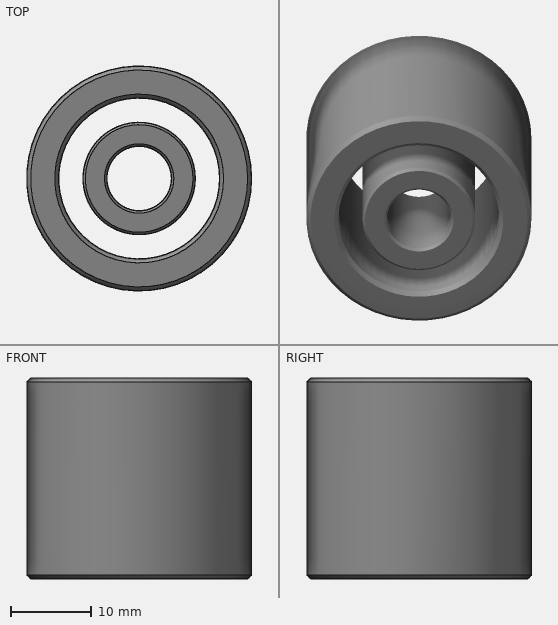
import cadquery as cq

OUTER_RING_DIAMETER = 28.0
OUTER_RING_BORE = 20.0
OUTER_RING_HEIGHT = 25.0
OUTER_RING_CHAMFER = 0.5

INNER_RING_DIAMETER = 14.0
INNER_RING_BORE = 8.0
INNER_RING_TOP_DEPTH = 9.0
INNER_RING_HEIGHT = OUTER_RING_HEIGHT - INNER_RING_TOP_DEPTH
INNER_RING_CHAMFER = 0.3


def make_ring(diameter, bore, height, chamfer):
    """A plain ring standing on the XY plane, with all four of its rims chamfered."""
    ring = cq.Workplane("XY").circle(diameter / 2).circle(bore / 2).extrude(height)
    return ring.faces("<Z or >Z").edges().chamfer(chamfer)


outer_ring = make_ring(OUTER_RING_DIAMETER, OUTER_RING_BORE, OUTER_RING_HEIGHT, OUTER_RING_CHAMFER)
inner_ring = make_ring(INNER_RING_DIAMETER, INNER_RING_BORE, INNER_RING_HEIGHT, INNER_RING_CHAMFER)

result = cq.Compound.makeCompound([outer_ring.val(), inner_ring.val()])